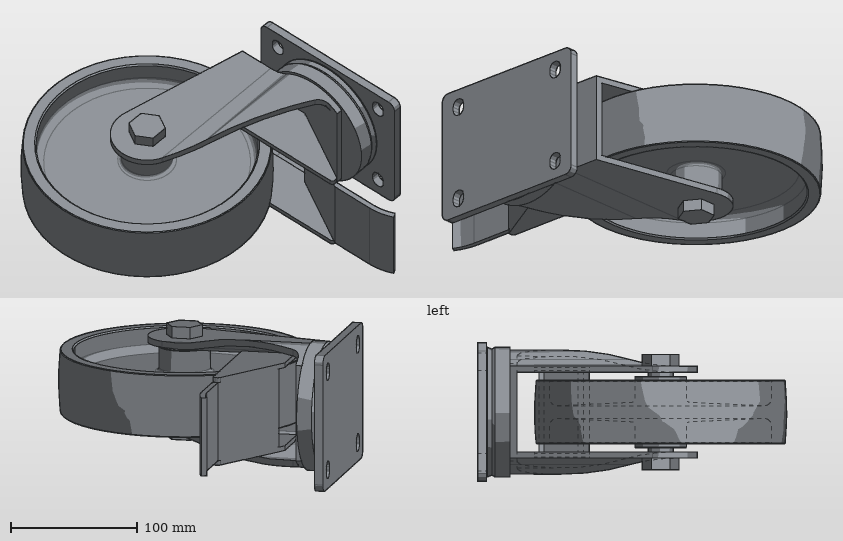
import cadquery as cq
import math


tread_radius = 100.0
tread_edge_radius = 98.8
wheel_half_width = 25.3
tread_chamfer = 0.7
rim_mouth_radius = 89.2
rim_mouth_chamfer = 1.2
rim_bore_radius = rim_mouth_radius - rim_mouth_chamfer
web_hub_z = 7.7
web_rim_z = 5.0
web_fillet = 6.0
hub_radius = 20.5
hub_fillet = 2.8
hub_chamfer = 0.5
hub_half_width = 28.3

axle_diameter = 20.02
bolt_flats = 25.4
bolt_head_height = 9.3

swivel_x = 70.0
plate_top_y = 144.98
plate_thickness = 7.0
plate_length = 140.0
plate_width = 110.0
plate_corner_radius = 6.5
slot_pitch_x = 105.0
slot_pitch_z = 79.5
slot_width = 11.0
slot_length = 14.0

ring_radius = 103.04 / 2
ring_bottom_y = 119.3
ring_shoulder_y = 131.3
groove_y = 133.7
groove_radius = 50.0
groove_lip_y = 137.2

fork_top_y = ring_bottom_y
fork_sheet = 5.0
fork_top_thickness = 5.5
fork_half_width = 36.5
fork_crown_radius = 49.3
leg_end_radius = 29.2
leg_bend_x = 26.4
fork_left_x = -3.2
fork_lip_x = 100.7
fork_throat_fillet = 11.5

lever_half_width = 35.5
lever_sheet = 3.8
pedal_thickness = 4.6
pedal_bottom_y = 56.4
pedal_bend_x = 184.0
pedal_bend_radius = 50.0
lever_end_x = 205.32
lever_slope = math.radians(29.8)
web_start_x = 85.0
web_start_y = 92.4
web_rise = 4.0
flange_left_x = 36.0
flange_tip_x = 145.6
flange_tip_fillet = 2.6
flange_shoulder_x = 79.0


def mirrored(solid):
    """Join a solid with its mirror image about the XY plane."""
    return solid.union(solid.mirror("XY"))


def make_wheel():
    half_tread = wheel_half_width - tread_chamfer
    web_rim = rim_bore_radius - web_fillet
    web_hub = hub_radius + hub_fillet
    quarter = math.sqrt(0.5)
    rim_mid = (web_rim + web_fillet * quarter, web_rim_z + web_fillet * (1 - quarter))
    hub_mid = (web_hub - hub_fillet * quarter, web_hub_z + hub_fillet * (1 - quarter))
    face_radius = tread_edge_radius - tread_chamfer
    wheel = (
        cq.Workplane("XZ")
        .moveTo(0, -wheel_half_width)
        .lineTo(face_radius, -wheel_half_width)
        .lineTo(tread_edge_radius, -half_tread)
        .threePointArc((tread_radius, 0), (tread_edge_radius, half_tread))
        .lineTo(face_radius, wheel_half_width)
        .lineTo(0, wheel_half_width)
        .close()
        .revolve(360, (0, 0), (0, 1))
    )

    recess = (
        cq.Workplane("XZ")
        .moveTo(hub_radius, wheel_half_width)
        .lineTo(hub_radius, web_hub_z + hub_fillet)
        .threePointArc(hub_mid, (web_hub, web_hub_z))
        .lineTo(web_rim, web_rim_z)
        .threePointArc(rim_mid, (rim_bore_radius, web_rim_z + web_fillet))
        .lineTo(rim_bore_radius, wheel_half_width - rim_mouth_chamfer)
        .lineTo(rim_mouth_radius, wheel_half_width)
        .close()
        .revolve(360, (0, 0), (0, 1))
    )
    hub = cq.Workplane("XY").circle(hub_radius).extrude(2 * hub_half_width)
    hub = hub.translate((0, 0, -hub_half_width)).faces("<Z or >Z").chamfer(hub_chamfer)
    return wheel.cut(mirrored(recess)).union(hub)


def make_axle():
    axle = cq.Workplane("XY").circle(axle_diameter / 2).extrude(fork_half_width)
    corner_angle = 30
    across_corners = bolt_flats / math.cos(math.radians(corner_angle))
    head = cq.Workplane("XY").polygon(6, across_corners).extrude(bolt_head_height)
    head = head.rotate((0, 0, 0), (0, 0, 1), corner_angle).translate((0, 0, fork_half_width))
    return mirrored(axle.union(head))


def make_plate():
    plate = cq.Workplane("XZ").rect(plate_length, plate_width).extrude(plate_thickness)
    plate = plate.edges("|Y").fillet(plate_corner_radius)
    slots = cq.Workplane("XZ").rarray(slot_pitch_x, slot_pitch_z, 2, 2)
    slots = slots.slot2D(slot_length, slot_width, 90).extrude(plate_thickness)
    return plate.cut(slots).translate((swivel_x, plate_top_y, 0))


def make_swivel_ring():
    plate_bottom_y = plate_top_y - plate_thickness
    ring = (
        cq.Workplane("XY")
        .moveTo(0, ring_bottom_y)
        .lineTo(ring_radius, ring_bottom_y)
        .lineTo(ring_radius, ring_shoulder_y)
        .lineTo(groove_radius, groove_y)
        .lineTo(ring_radius, groove_lip_y)
        .lineTo(ring_radius, plate_bottom_y)
        .lineTo(0, plate_bottom_y)
        .close()
        .revolve(360, (0, 0), (0, 1))
    )
    return ring.translate((swivel_x, 0, 0))


def fork_block(inset, y_high):
    """Block below y_high whose parallel sides flare into an arc around the swivel axis."""
    left_x = -tread_radius
    leg_z = fork_half_width - inset
    crown_radius = fork_crown_radius - inset
    run = swivel_x - leg_bend_x
    outer_flare = (run**2 + fork_half_width**2 - fork_crown_radius**2) / (
        2 * (fork_crown_radius - fork_half_width)
    )
    flare_z = fork_half_width + outer_flare
    flare = outer_flare + inset
    reach = math.hypot(run, flare_z)
    flare_end = (leg_bend_x + flare * run / reach, flare_z - flare * flare_z / reach)
    half_angle = math.atan2(run, flare_z) / 2
    flare_mid = (leg_bend_x + flare * math.sin(half_angle), flare_z - flare * math.cos(half_angle))
    plan = (
        cq.Workplane("XZ", origin=(0, y_high, 0))
        .moveTo(left_x, -leg_z)
        .lineTo(leg_bend_x, -leg_z)
        .threePointArc((flare_mid[0], -flare_mid[1]), (flare_end[0], -flare_end[1]))
        .threePointArc((swivel_x + crown_radius, 0), flare_end)
        .threePointArc(flare_mid, (leg_bend_x, leg_z))
        .lineTo(left_x, leg_z)
        .close()
    )
    return plan.extrude(y_high + leg_end_radius)


def make_fork():
    underside_y = fork_top_y - fork_top_thickness
    rear_angle = math.atan2(fork_top_y, fork_left_x)
    rear_angle += math.acos(leg_end_radius / math.hypot(fork_left_x, fork_top_y))
    rear = (leg_end_radius * math.cos(rear_angle), leg_end_radius * math.sin(rear_angle))
    front_y = -math.sqrt(leg_end_radius**2 - leg_bend_x**2)
    throat_x = leg_bend_x + (underside_y - front_y) * -front_y / leg_bend_x
    side = (
        cq.Workplane("XY")
        .moveTo(fork_left_x, fork_top_y)
        .lineTo(*rear)
        .threePointArc((0, -leg_end_radius), (leg_bend_x, front_y))
        .lineTo(throat_x, underside_y)
        .lineTo(fork_lip_x, underside_y)
        .lineTo(fork_lip_x, fork_top_y)
        .close()
        .extrude(fork_crown_radius, both=True)
    )
    throat = cq.selectors.NearestToPointSelector((throat_x, underside_y, 0))
    side = side.edges("|Z").edges(throat).fillet(fork_throat_fillet)
    outer = fork_block(0, fork_top_y)
    inner = fork_block(fork_sheet, underside_y)
    return outer.cut(inner).intersect(side)


def make_brake_lever():
    inner_half_width = lever_half_width - lever_sheet
    slope = math.tan(lever_slope)
    pedal_top_y = pedal_bottom_y + pedal_thickness
    web_top_y = web_start_y + web_rise
    bend_angle = math.asin((lever_end_x - pedal_bend_x) / pedal_bend_radius)
    bend_center_y = pedal_bottom_y + pedal_bend_radius
    top_bend_radius = pedal_bend_radius - pedal_thickness

    def bend_point(radius, angle):
        return (pedal_bend_x + radius * math.sin(angle), bend_center_y - radius * math.cos(angle))

    lower_mid = bend_point(pedal_bend_radius, bend_angle / 2)
    lower_end = bend_point(pedal_bend_radius, bend_angle)
    upper_mid = bend_point(top_bend_radius, bend_angle / 2)
    upper_end = bend_point(top_bend_radius, bend_angle)

    blade = (
        cq.Workplane("XY")
        .moveTo(web_start_x, web_start_y)
        .lineTo(web_start_x + (web_start_y - pedal_bottom_y) / slope, pedal_bottom_y)
        .lineTo(pedal_bend_x, pedal_bottom_y)
        .threePointArc(lower_mid, lower_end)
        .lineTo(*upper_end)
        .threePointArc(upper_mid, (pedal_bend_x, pedal_top_y))
        .lineTo(web_start_x + (web_top_y - pedal_top_y) / slope, pedal_top_y)
        .lineTo(web_start_x, web_top_y)
        .close()
        .extrude(inner_half_width, both=True)
    )
    tip_y = web_top_y - (flange_tip_x - web_start_x) * slope
    shoulder_y = web_top_y + (web_start_x - flange_shoulder_x) * slope
    flange = (
        cq.Workplane("XY", origin=(0, 0, inner_half_width))
        .moveTo(flange_left_x, pedal_bottom_y)
        .lineTo(flange_tip_x, pedal_bottom_y)
        .lineTo(flange_tip_x, tip_y)
        .lineTo(flange_shoulder_x, shoulder_y)
        .lineTo(flange_left_x, shoulder_y)
        .close()
        .extrude(lever_sheet)
        .edges("|Z and >X")
        .fillet(flange_tip_fillet)
    )
    return blade.union(mirrored(flange))


result = make_wheel().union(make_axle()).union(make_fork()).union(make_brake_lever())
result = result.union(make_swivel_ring()).union(make_plate())